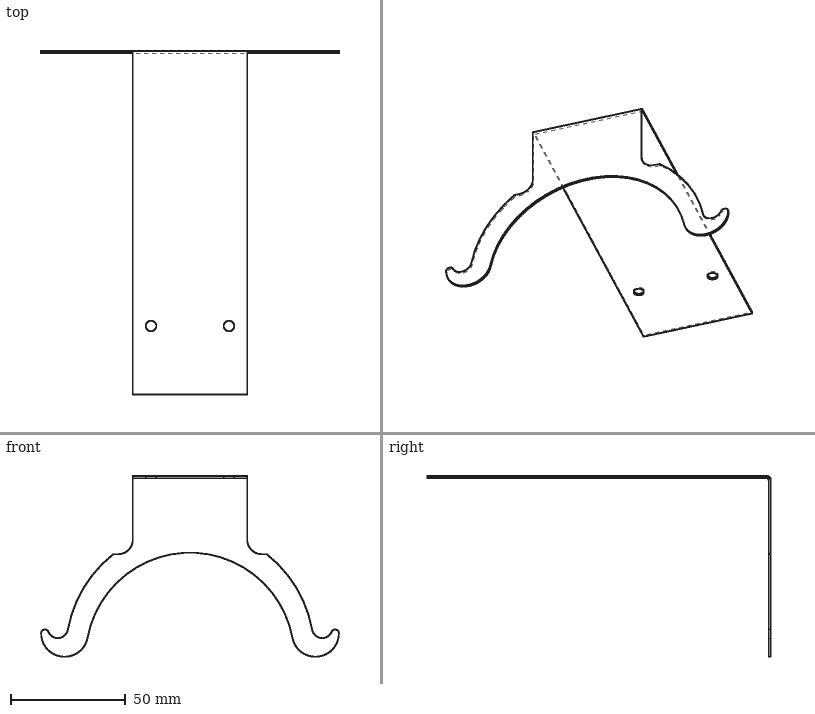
import cadquery as cq
import math


total_width = 130.0
arm_length = 150.0
total_height = 79.0
strip_width = 50.0

thickness = 1.0
bend_outer_radius = 2.0
bend_inner_radius = bend_outer_radius - thickness

hole_diameter = 4.5
hole_spacing = 34.0
hole_end_distance = 30.0

saddle_radius = 45.4
back_radius = 54.2
back_center_z = 2.2
shoulder_height = 44.85
shoulder_fillet = 6.25

tip_radius = 1.7
notch_radius = 4.4

half_width = total_width / 2
half_strip = strip_width / 2
fillet_top = shoulder_height + shoulder_fillet


def hook_radius_touching_saddle():
    """Radius of the hook circle that touches Z = 0, the side limit and the saddle circle."""
    half_sum = half_width + saddle_radius
    return half_sum - math.sqrt(half_sum**2 - half_width**2 + saddle_radius**2)


def point_toward(start, target, distance):
    """Point at the given distance from start, in the direction of target."""
    span = math.dist(start, target)
    return (
        start[0] + (target[0] - start[0]) * distance / span,
        start[1] + (target[1] - start[1]) * distance / span,
    )


def upper_circle_crossing(center_a, radius_a, center_b, radius_b):
    """Upper crossing of two circles, with center_b to the right of center_a."""
    span = math.dist(center_a, center_b)
    along = (span**2 + radius_a**2 - radius_b**2) / (2 * span)
    across = math.sqrt(radius_a**2 - along**2)
    foot = point_toward(center_a, center_b, along)
    return (
        foot[0] - across * (center_b[1] - center_a[1]) / span,
        foot[1] + across * (center_b[0] - center_a[0]) / span,
    )


def make_angle_strip():
    """Constant-width L strip with a rounded bend, reaching down to the top of the shoulder fillets."""
    arm_underside = total_height - thickness
    profile = (
        cq.Workplane("YZ", origin=(-half_strip, 0, 0))
        .moveTo(-arm_length, total_height)
        .lineTo(-bend_outer_radius, total_height)
        .radiusArc((0, total_height - bend_outer_radius), bend_outer_radius)
        .lineTo(0, fillet_top)
        .lineTo(-thickness, fillet_top)
        .lineTo(-thickness, arm_underside - bend_inner_radius)
        .radiusArc((-bend_outer_radius, arm_underside), -bend_inner_radius)
        .lineTo(-arm_length, arm_underside)
        .close()
    )
    return profile.extrude(strip_width)


def make_half_saddle():
    """Left half of the flange below the strip: shoulder, curved leg and hook."""
    saddle_center = (0, 0)
    back_center = (0, back_center_z)
    hook_radius = hook_radius_touching_saddle()
    hook_center = (hook_radius - half_width, hook_radius)
    tip_center = (tip_radius - half_width, hook_radius)
    notch_center = upper_circle_crossing(
        tip_center, tip_radius + notch_radius, back_center, back_radius + notch_radius
    )

    saddle_top = (0, saddle_radius)
    saddle_end = point_toward(saddle_center, hook_center, saddle_radius)
    saddle_middle = point_toward(
        saddle_center, (saddle_end[0], saddle_end[1] + saddle_radius), saddle_radius
    )
    hook_bottom = (hook_center[0], 0)
    hook_side = (-half_width, hook_radius)
    tip_top = (tip_center[0], tip_center[1] + tip_radius)
    tip_end = point_toward(tip_center, notch_center, tip_radius)
    notch_bottom = (notch_center[0], notch_center[1] - notch_radius)
    notch_end = point_toward(notch_center, back_center, notch_radius)

    back_rise = shoulder_height - back_center_z
    back_end = (-math.sqrt(back_radius**2 - back_rise**2), shoulder_height)
    fillet_start = (-half_strip - shoulder_fillet, shoulder_height)
    fillet_end = (-half_strip, fillet_top)

    outline = (
        cq.Workplane("XZ")
        .moveTo(*saddle_top)
        .threePointArc(saddle_middle, saddle_end)
        .threePointArc(hook_bottom, hook_side)
        .threePointArc(tip_top, tip_end)
        .threePointArc(notch_bottom, notch_end)
        .radiusArc(back_end, back_radius)
        .lineTo(*fillet_start)
        .radiusArc(fillet_end, -shoulder_fillet)
        .lineTo(0, fillet_top)
        .close()
    )
    return outline.extrude(thickness)


def make_arm_holes():
    """Pair of cylinders that cut the holes through the free end of the arm."""
    return (
        cq.Workplane("XY", origin=(0, hole_end_distance - arm_length, total_height - thickness))
        .pushPoints([(side * hole_spacing / 2, 0) for side in (-1, 1)])
        .circle(hole_diameter / 2)
        .extrude(thickness)
    )


half_saddle = make_half_saddle()
bracket = make_angle_strip().union(half_saddle).union(half_saddle.mirror("YZ"))
result = bracket.cut(make_arm_holes()).clean()